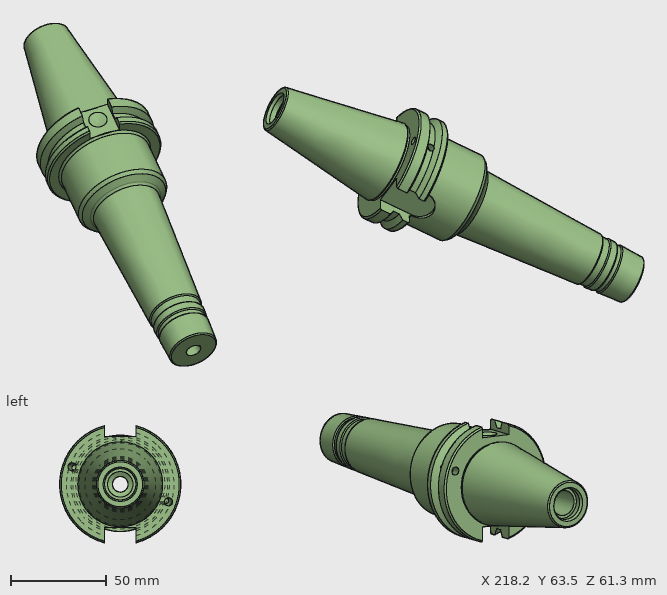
import cadquery as cq
import math

LENGTH = 218.2
TAPER_SLOPE = 7 / 24 / 2
TAPER_LENGTH = 67.7
TAPER_LARGE_RADIUS = 22.3
TAPER_SMALL_RADIUS = TAPER_LARGE_RADIUS - TAPER_LENGTH * TAPER_SLOPE
SHANK_CHAMFER = 0.7

UNDERCUT_RADIUS = 21.5
UNDERCUT_START = 68.3

FLANGE_START = 69.5
FLANGE_END = 87.0
FLANGE_RADIUS = 63.5 / 2
FLANGE_CHAMFER = 0.9
GROOVE_CENTER = 79.2
GROOVE_FLOOR_WIDTH = 3.5
GROOVE_FLOOR_RADIUS = 28.2
GROOVE_FLANK_LEFT = 1.7
GROOVE_FLANK_RIGHT = 2.2

BODY_RADIUS = 49.5 / 2
COLLAR_RADIUS = 25.8
COLLAR_END = 88.5
BODY_CHAMFER_START = 113.5
BODY_END = 115.5
BODY_END_RADIUS = 23.4
SHOULDER_END = 117.9
SHOULDER_END_RADIUS = 19.6

NOSE_START = 119.2
NOSE_START_RADIUS = 18.5
NOSE_END_RADIUS = 13.0
NOSE_CHAMFER = 0.7
RING_GROOVES = ((191.6, 196.9), (200.8, 204.3))
RING_GROOVE_DEPTH = 0.7
RING_GROOVE_BEVEL = 0.7

SLOT_WIDTH = 16.4
TOP_SLOT_FLOOR = 25.0
BOTTOM_SLOT_FLOOR = 22.5
BOTTOM_SLOT_ROUND_CENTER = 88.5

DIMPLE_DIAMETER = 9.5
DIMPLE_X = 77.0
DIMPLE_DEPTH = 2.6

COOLANT_FACE_RADIUS = 26.8
COOLANT_TURN = 20.0
COOLANT_SLANT = 16.0
COOLANT_FACE_DIAMETER = 4.1
COOLANT_RADIAL_DIAMETER = 4.0

BORE_MOUTH_RADIUS = 9.0
BORE_MOUTH_DEPTH = 1.7
RECESS_RADIUS = 16.4 / 2
RECESS_DEPTH = 4.8
PILOT_RADIUS = 13.3 / 2
PILOT_DEPTH = 32.7
THROUGH_RADIUS = 8.0 / 2
DRILL_POINT_ANGLE = 118.0


def revolve_about_x(points):
    """Revolve a closed (x, radius) outline about the X axis."""
    return cq.Workplane("XY").polyline(points).close().revolve(360, (0, 0, 0), (1, 0, 0))


def nose_radius(x):
    """Radius of the tapered nose at position x."""
    share = (x - NOSE_START) / (LENGTH - NOSE_START)
    return NOSE_START_RADIUS + share * (NOSE_END_RADIUS - NOSE_START_RADIUS)


def make_holder():
    """Solid of revolution from the shank end to the nose tip."""
    floor_start = GROOVE_CENTER - GROOVE_FLOOR_WIDTH / 2
    floor_end = GROOVE_CENTER + GROOVE_FLOOR_WIDTH / 2
    outline = [
        (0, 0),
        (0, TAPER_SMALL_RADIUS - SHANK_CHAMFER),
        (SHANK_CHAMFER, TAPER_SMALL_RADIUS + SHANK_CHAMFER * TAPER_SLOPE),
        (TAPER_LENGTH, TAPER_LARGE_RADIUS),
        (UNDERCUT_START, UNDERCUT_RADIUS),
        (FLANGE_START, UNDERCUT_RADIUS),
        (FLANGE_START, FLANGE_RADIUS - FLANGE_CHAMFER),
        (FLANGE_START + FLANGE_CHAMFER, FLANGE_RADIUS),
        (floor_start - GROOVE_FLANK_LEFT, FLANGE_RADIUS),
        (floor_start, GROOVE_FLOOR_RADIUS),
        (floor_end, GROOVE_FLOOR_RADIUS),
        (floor_end + GROOVE_FLANK_RIGHT, FLANGE_RADIUS),
        (FLANGE_END - FLANGE_CHAMFER, FLANGE_RADIUS),
        (FLANGE_END, FLANGE_RADIUS - FLANGE_CHAMFER),
        (FLANGE_END, COLLAR_RADIUS),
        (COLLAR_END, BODY_RADIUS),
        (BODY_CHAMFER_START, BODY_RADIUS),
        (BODY_END, BODY_END_RADIUS),
        (SHOULDER_END, SHOULDER_END_RADIUS),
        (NOSE_START, NOSE_START_RADIUS),
    ]
    for start, end in RING_GROOVES:
        outline += [
            (start, nose_radius(start)),
            (start + RING_GROOVE_BEVEL, nose_radius(start) - RING_GROOVE_DEPTH),
            (end - RING_GROOVE_BEVEL, nose_radius(end) - RING_GROOVE_DEPTH),
            (end, nose_radius(end)),
        ]
    outline += [
        (LENGTH - NOSE_CHAMFER, nose_radius(LENGTH - NOSE_CHAMFER)),
        (LENGTH, NOSE_END_RADIUS - NOSE_CHAMFER),
        (LENGTH, 0),
    ]
    return revolve_about_x(outline)


def make_bore():
    """Stepped bore with a drill-point cone down to the through hole."""
    point_length = (PILOT_RADIUS - THROUGH_RADIUS) / math.tan(math.radians(DRILL_POINT_ANGLE / 2))
    return revolve_about_x([
        (0, 0),
        (0, BORE_MOUTH_RADIUS),
        (BORE_MOUTH_DEPTH, RECESS_RADIUS),
        (RECESS_DEPTH, RECESS_RADIUS),
        (RECESS_DEPTH, PILOT_RADIUS),
        (PILOT_DEPTH, PILOT_RADIUS),
        (PILOT_DEPTH + point_length, THROUGH_RADIUS),
        (LENGTH, THROUGH_RADIUS),
        (LENGTH, 0),
    ])


def make_top_slot():
    length = FLANGE_END - FLANGE_START
    height = FLANGE_RADIUS - TOP_SLOT_FLOOR
    return (
        cq.Workplane("XY")
        .box(length, SLOT_WIDTH, height, centered=(False, True, False))
        .translate((FLANGE_START, 0, TOP_SLOT_FLOOR))
    )


def make_bottom_slot():
    """The lower slot is deeper and runs out into the body with a round end."""
    half_width = SLOT_WIDTH / 2
    return (
        cq.Workplane("XY", origin=(0, 0, -FLANGE_RADIUS))
        .moveTo(TAPER_LENGTH, -half_width)
        .lineTo(BOTTOM_SLOT_ROUND_CENTER, -half_width)
        .threePointArc(
            (BOTTOM_SLOT_ROUND_CENTER + half_width, 0),
            (BOTTOM_SLOT_ROUND_CENTER, half_width),
        )
        .lineTo(TAPER_LENGTH, half_width)
        .close()
        .extrude(FLANGE_RADIUS - BOTTOM_SLOT_FLOOR)
    )


def make_dimple():
    return cq.Workplane(cq.Solid.makeCone(
        DIMPLE_DIAMETER / 2, 0, DIMPLE_DEPTH,
        cq.Vector(DIMPLE_X, 0, TOP_SLOT_FLOOR), cq.Vector(0, 0, -1),
    ))


def make_coolant_passage():
    """Passage on the +Y side, turned upwards about the X axis."""
    slant = math.radians(COOLANT_SLANT)
    inward = cq.Vector(math.cos(slant), -math.sin(slant), 0)
    slanted_length = (GROOVE_CENTER - FLANGE_START) / math.cos(slant)
    meeting_radius = COOLANT_FACE_RADIUS - slanted_length * math.sin(slant)
    start = cq.Vector(FLANGE_START, COOLANT_FACE_RADIUS, 0) - inward * COOLANT_FACE_DIAMETER
    slanted = cq.Solid.makeCylinder(
        COOLANT_FACE_DIAMETER / 2, slanted_length + COOLANT_FACE_DIAMETER, start, inward
    )
    radial = cq.Solid.makeCylinder(
        COOLANT_RADIAL_DIAMETER / 2, FLANGE_RADIUS - meeting_radius,
        cq.Vector(GROOVE_CENTER, meeting_radius, 0), cq.Vector(0, 1, 0),
    )
    passage = cq.Workplane(slanted).union(cq.Workplane(radial))
    return passage.rotate((0, 0, 0), (1, 0, 0), COOLANT_TURN)


result = (
    make_holder()
    .cut(make_bore())
    .cut(make_top_slot())
    .cut(make_bottom_slot())
    .cut(make_dimple())
)
coolant_passage = make_coolant_passage()
for turn in (0, 180):
    result = result.cut(coolant_passage.rotate((0, 0, 0), (1, 0, 0), turn))